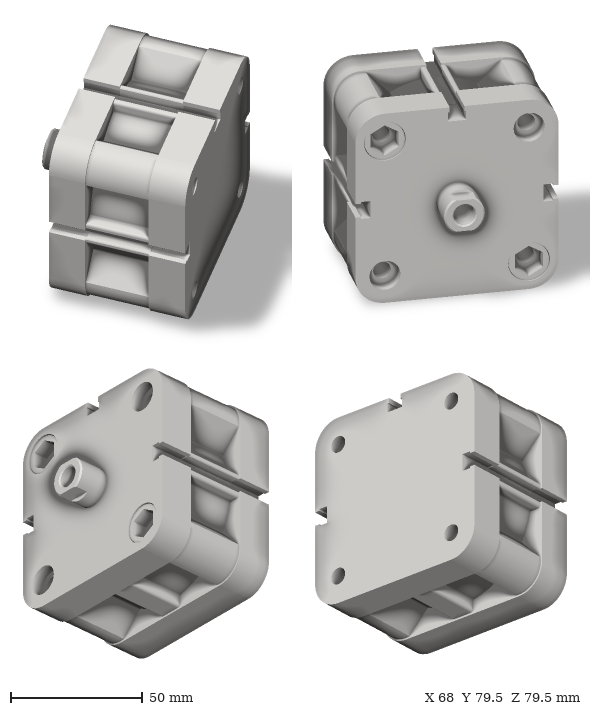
import cadquery as cq
import math


cap_side = 79.5
cap_corner_radius = 11.5
front_cap_length = 14.6
barrel_length = 25.4
rear_cap_length = 14.8
housing_length = front_cap_length + barrel_length + rear_cap_length
rear_cap_start = front_cap_length + barrel_length

cap_half = cap_side / 2
hole_offset = cap_half - cap_corner_radius
barrel_inset = 0.7
boss_radius = cap_corner_radius - barrel_inset

tube_radius = 34.2
rib_half_width = 5.25
rib_edge_radius = 1.1
boss_wall_offset = 26.5
rib_top = hole_offset + math.sqrt(boss_radius**2 - (hole_offset - boss_wall_offset) ** 2)
boss_wall_drop = 10.3
pocket_fillet = 0.8
cut_margin = 1.6

slot_neck_half_width = 2.9
cap_slot_half_width = 3.6
cap_slot_shoulder = cap_half - 2.15
cap_slot_floor = cap_half - 5.9
barrel_slot_half_width = 3.25
barrel_slot_shoulder = cap_half - 2.3
barrel_slot_floor = cap_half - 5.6
barrel_slot_chamfer = 0.3
slotted_sides = (-90, 0, 90)
all_sides = (-90, 0, 90, 180)

through_diameter = 6.9
counterbore_diameter = 12.1
counterbore_depth = 5.0
screw_seat_diameter = 16.4
screw_seat_depth = 12.7
screw_diameter = 15.9
screw_recess = 0.55
screw_length = screw_seat_depth - screw_recess
hex_across_flats = 11.0
hex_depth = 6.35
plain_corners = ((-hole_offset, hole_offset), (hole_offset, -hole_offset))
screw_corners = ((hole_offset, hole_offset), (-hole_offset, -hole_offset))

rod_diameter = 16.0
rod_reach = 13.2
rod_chamfer = 0.6
rod_flat_width = 13.0
rod_flat_length = 6.2
rod_flat_runout = 0.3
bore_diameter = 8.5
bore_depth = 17.5
bore_mouth_diameter = 9.55
drill_point_angle = 118.0


def cross_section(x):
    """Workplane across the cylinder axis: local x is Y, local y is Z, extrusion runs along +X."""
    return cq.Workplane("YZ", origin=(x, 0, 0))


def turn(shape, angle):
    """Turn a shape made for the +Z side about the cylinder axis."""
    return shape.rotate((0, 0, 0), (1, 0, 0), angle)


def half_pocket():
    """Pocket on the +Y half of the +Z side, from the rib across the tube to the corner boss."""
    outside = cap_half + cut_margin
    rib_flat = rib_half_width - rib_edge_radius
    arc_reach = rib_edge_radius * math.sqrt(0.5)
    arc_middle = (rib_flat + arc_reach, rib_top - rib_edge_radius + arc_reach)
    wall_foot = (boss_wall_offset - boss_wall_drop, rib_top - boss_wall_drop)
    pocket = (
        cross_section(front_cap_length)
        .moveTo(rib_flat, outside)
        .lineTo(rib_flat, rib_top)
        .threePointArc(arc_middle, (rib_half_width, rib_top - rib_edge_radius))
        .lineTo(rib_half_width, wall_foot[1])
        .lineTo(*wall_foot)
        .lineTo(boss_wall_offset, rib_top)
        .lineTo(boss_wall_offset, outside)
        .close()
        .extrude(barrel_length)
    )
    tube = cross_section(front_cap_length).circle(tube_radius).extrude(barrel_length)
    corner_edges = cq.selectors.BoxSelector(
        (front_cap_length, 0, wall_foot[1]),
        (rear_cap_start, boss_wall_offset, tube_radius),
    )
    return pocket.cut(tube).edges("|X").edges(corner_edges).fillet(pocket_fillet)


def t_slot(start, length, half_width, shoulder, floor):
    """T-slot running along the cylinder axis in the +Z side."""
    undercut = (
        cross_section(start)
        .center(0, (shoulder + floor) / 2)
        .rect(2 * half_width, shoulder - floor)
        .extrude(length)
    )
    outside = cap_half + cut_margin
    neck = (
        cross_section(start)
        .center(0, (outside + floor) / 2)
        .rect(2 * slot_neck_half_width, outside - floor)
        .extrude(length)
    )
    return undercut.union(neck)


def barrel_slot():
    """Barrel T-slot with chamfered mouth edges."""
    slot = t_slot(
        front_cap_length, barrel_length, barrel_slot_half_width, barrel_slot_shoulder, barrel_slot_floor
    )
    mouth_half_width = slot_neck_half_width + barrel_slot_chamfer
    mouth = (
        cross_section(front_cap_length)
        .moveTo(-slot_neck_half_width, rib_top - barrel_slot_chamfer)
        .lineTo(slot_neck_half_width, rib_top - barrel_slot_chamfer)
        .lineTo(mouth_half_width, rib_top)
        .lineTo(-mouth_half_width, rib_top)
        .close()
        .extrude(barrel_length)
    )
    return slot.union(mouth)


def barrel_block():
    """Square block whose corners bulge out as the round corner bosses."""
    boss_peak = hole_offset + boss_radius * math.sqrt(0.5)
    corner_signs = ((1, 1), (1, -1), (-1, -1), (-1, 1))
    outline = cross_section(front_cap_length).moveTo(-boss_wall_offset, rib_top)
    for y_sign, z_sign in corner_signs:
        on_z_side = (y_sign * boss_wall_offset, z_sign * rib_top)
        on_y_side = (y_sign * rib_top, z_sign * boss_wall_offset)
        peak = (y_sign * boss_peak, z_sign * boss_peak)
        if y_sign == z_sign:
            outline = outline.lineTo(*on_z_side).threePointArc(peak, on_y_side)
        else:
            outline = outline.lineTo(*on_y_side).threePointArc(peak, on_z_side)
    return outline.close().extrude(barrel_length)


def make_barrel():
    barrel = barrel_block()
    pocket = half_pocket()
    pocket_pair = pocket.union(pocket.mirror("XZ"))
    for side in all_sides:
        barrel = barrel.cut(turn(pocket_pair, side))
    slot = barrel_slot()
    for side in slotted_sides:
        barrel = barrel.cut(turn(slot, side))
    return barrel


def make_cap(start, length):
    cap = cross_section(start).rect(cap_side, cap_side).extrude(length)
    cap = cap.edges("|X").fillet(cap_corner_radius)
    slot = t_slot(start, length, cap_slot_half_width, cap_slot_shoulder, cap_slot_floor)
    for side in slotted_sides:
        cap = cap.cut(turn(slot, side))
    return cap


def make_housing():
    housing = make_cap(0, front_cap_length)
    housing = housing.union(make_barrel())
    housing = housing.union(make_cap(rear_cap_start, rear_cap_length))
    front = cross_section(0)
    through_holes = (
        front.pushPoints(plain_corners + screw_corners)
        .circle(through_diameter / 2)
        .extrude(housing_length)
    )
    counterbores = (
        front.pushPoints(plain_corners).circle(counterbore_diameter / 2).extrude(counterbore_depth)
    )
    screw_seats = (
        front.pushPoints(screw_corners).circle(screw_seat_diameter / 2).extrude(screw_seat_depth)
    )
    rod_hole = front.circle(rod_diameter / 2).extrude(front_cap_length)
    return housing.cut(through_holes).cut(counterbores).cut(screw_seats).cut(rod_hole)


def make_screw(corner):
    """Hollow screw with a hexagon socket, sunk a little below the front face."""
    hex_across_corners = hex_across_flats / math.cos(math.pi / 6)
    head = cross_section(screw_recess).center(*corner)
    body = head.circle(screw_diameter / 2).extrude(screw_length)
    passage = head.circle(through_diameter / 2).extrude(screw_length)
    socket = head.transformed(rotate=(0, 0, 90)).polygon(6, hex_across_corners).extrude(hex_depth)
    return body.cut(passage).cut(socket)


def make_piston_rod():
    """Rod with two wrench flats and a drilled bore, seated in the front cap."""
    tip = -rod_reach
    rod = cross_section(tip).circle(rod_diameter / 2).extrude(rod_reach + front_cap_length)
    rod = rod.faces("<X").chamfer(rod_chamfer)
    flat_height = rod_flat_width / 2
    flat_end = tip + rod_flat_length
    upper_flat = (
        cq.Workplane("XZ")
        .moveTo(tip, flat_height)
        .lineTo(flat_end, flat_height)
        .lineTo(flat_end + rod_flat_runout, rod_diameter / 2)
        .lineTo(tip, rod_diameter / 2)
        .close()
        .extrude(rod_diameter / 2, both=True)
    )
    bore_radius = bore_diameter / 2
    mouth_radius = bore_mouth_diameter / 2
    mouth_depth = mouth_radius - bore_radius
    point_depth = bore_radius / math.tan(math.radians(drill_point_angle / 2))
    bore = (
        cq.Workplane("XY")
        .moveTo(tip, 0)
        .lineTo(tip, mouth_radius)
        .lineTo(tip + mouth_depth, bore_radius)
        .lineTo(tip + bore_depth, bore_radius)
        .lineTo(tip + bore_depth + point_depth, 0)
        .close()
        .revolve(360, (0, 0, 0), (1, 0, 0))
    )
    return rod.cut(upper_flat).cut(turn(upper_flat, 180)).cut(bore)


housing = make_housing()
piston_rod = make_piston_rod()
screws = [make_screw(corner) for corner in screw_corners]

result = cq.Compound.makeCompound(
    [housing.val(), piston_rod.val(), *[screw.val() for screw in screws]]
)